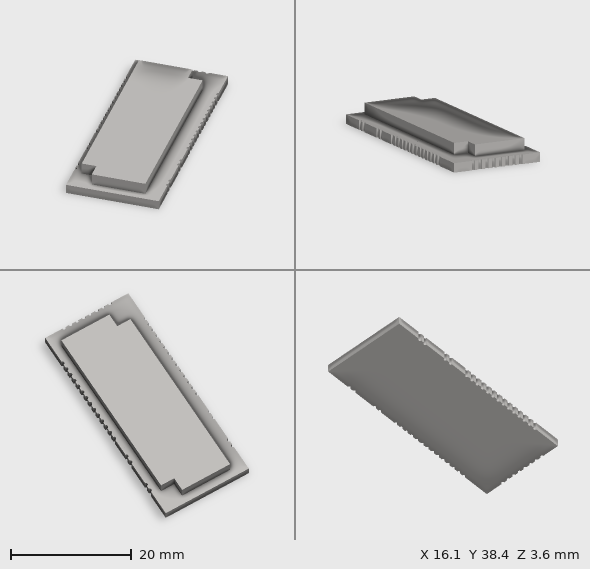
import cadquery as cq

board_width = 16.1
board_length = 38.4
total_height = 3.6
board_thickness = 1.6

cover_height = total_height - board_thickness
cover_left_margin = 1.5
cover_right_margin = 2.75
cover_back_margin = 2.7
cover_front_margin = 1.42
cover_corner_cut = 2.55

notch_radius = 0.3
notch_pitch = 1.25
side_row_count = 14
pair_count = 2
back_row_count = 8
side_row_start = 5.53
middle_pair_start = 25.92
front_pair_start = 32.1

right_edge = board_width / 2
back_edge = board_length / 2


def side_notch_points():
    """Notch centres on the left and right edges, mirrored about the YZ plane."""
    groups = [
        (side_row_start, side_row_count),
        (middle_pair_start, pair_count),
        (front_pair_start, pair_count),
    ]
    points = []
    for start, count in groups:
        for i in range(count):
            y = back_edge - start - i * notch_pitch
            points += [(-right_edge, y), (right_edge, y)]
    return points


def back_notch_points():
    """Notch centres in one row centred on the back edge."""
    first_x = -(back_row_count - 1) * notch_pitch / 2
    return [(first_x + i * notch_pitch, back_edge) for i in range(back_row_count)]


def make_board():
    board = cq.Workplane("XY").rect(board_width, board_length).extrude(board_thickness)
    notches = (
        cq.Workplane("XY")
        .pushPoints(side_notch_points() + back_notch_points())
        .circle(notch_radius)
        .extrude(board_thickness)
    )
    return board.cut(notches)


def make_cover():
    left = -right_edge + cover_left_margin
    right = right_edge - cover_right_margin
    front = -back_edge + cover_front_margin
    back = back_edge - cover_back_margin
    outline = [
        (left, back),
        (right - cover_corner_cut, back),
        (right - cover_corner_cut, back - cover_corner_cut),
        (right, back - cover_corner_cut),
        (right, front),
        (left + cover_corner_cut, front),
        (left + cover_corner_cut, front + cover_corner_cut),
        (left, front + cover_corner_cut),
    ]
    return (
        cq.Workplane("XY")
        .workplane(offset=board_thickness)
        .polyline(outline)
        .close()
        .extrude(cover_height)
    )


result = make_board().union(make_cover())